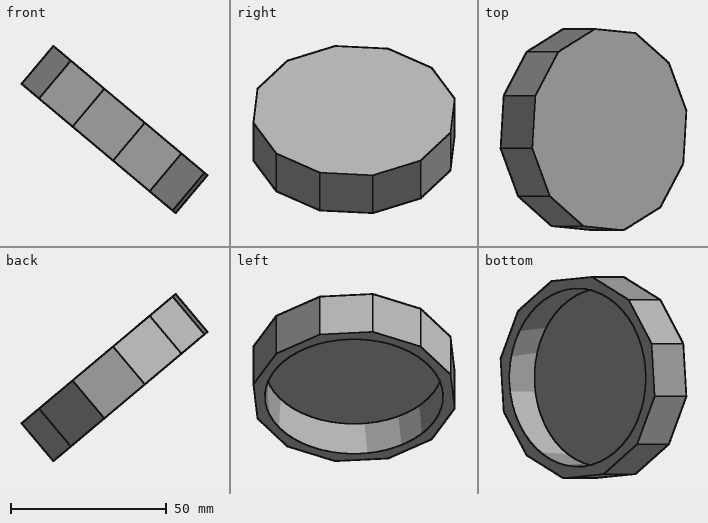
import cadquery as cq
import math

width = 64.6
thickness = 15.9
side_count = 12
first_corner = 10.6
bore_diameter = 57.2
bore_depth = 12.55
tilt = 40.0

corner_radius = width / 2 / math.cos(math.radians(first_corner))

cap = (
    cq.Workplane("XY")
    .polygon(side_count, 2 * corner_radius)
    .extrude(thickness)
    .rotate((0, 0, 0), (0, 0, 1), first_corner)
)

bore = cq.Workplane("XY").circle(bore_diameter / 2).extrude(bore_depth)

result = (
    cap.cut(bore)
    .translate((0, 0, -thickness / 2))
    .rotate((0, 0, 0), (0, 1, 0), tilt)
)